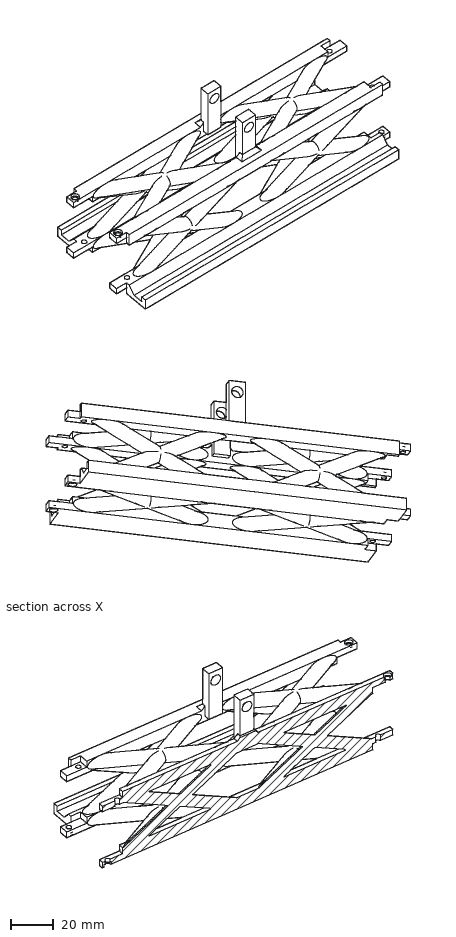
import cadquery as cq

frame_size = 40.0
rail_size = 7.0
rail_length = 155.0
overall_length = 167.0
frame_half = frame_size / 2
rail_inner = frame_half - rail_size
rail_center = frame_half - rail_size / 2
rail_end = rail_length / 2
part_end = overall_length / 2

tab_length = part_end - rail_end
tab_width = 5.0
tab_height = rail_size / 2
notch_depth = 5.5
notch_end = rail_end - notch_depth
tab_center_x = rail_inner + tab_width / 2

pin_hole_diameter = 2.5
pin_recess_diameter = 4.0
pin_recess_depth = 1.5
tab_hole_y = part_end - tab_length / 2
notch_hole_y = notch_end + tab_length / 2

channel_half_width = 31.7
channel_lip = 2.7
channel_lip_height = 6.0
channel_floor = 3.0
channel_slope_width = 3.5

brace_clearance = 0.02
brace_diameter = rail_size - brace_clearance

tag_thickness = 5.0
tag_width = 8.0
tag_inner = 10.0
tag_top = 63.0
tag_bottom = 36.0
tag_hole_diameter = 5.5
tag_hole_drop = 5.5
tag_flare = 2.0


def box(x_range, y_range, z_range):
    """Axis-aligned box between the given limits."""
    size = [high - low for low, high in (x_range, y_range, z_range)]
    corner = (x_range[0], y_range[0], z_range[0])
    return cq.Workplane("XY").box(*size, centered=False).translate(corner)


def vertical_hole(diameter, y, z_bottom, depth):
    """Cylinder on the tab centre line, used as a cutter."""
    return cq.Workplane("XY", origin=(tab_center_x, y, z_bottom)).circle(diameter / 2).extrude(depth)


def make_rail(z_bottom):
    """Plain rail on the +X side, with its two end tabs."""
    z_middle = z_bottom + tab_height
    z_top = z_bottom + rail_size
    tab_x = (rail_inner, rail_inner + tab_width)
    rail = box((rail_inner, frame_half), (-rail_end, rail_end), (z_bottom, z_top))
    rail = rail.union(box(tab_x, (notch_end, part_end), (z_bottom, z_middle)))
    return rail.union(box(tab_x, (-part_end, -notch_end), (z_middle, z_top)))


def make_upper_joint_cuts():
    """Notches and holes at both ends of the +X upper rail."""
    z_bottom = frame_size - rail_size
    z_middle = z_bottom + tab_height
    tab_x = (rail_inner, rail_inner + tab_width)
    recess_bottom = frame_size - pin_recess_depth
    back_notch = box(tab_x, (notch_end, part_end), (z_middle, frame_size))
    front_notch = box(tab_x, (-part_end, -notch_end), (z_bottom, z_middle))
    cuts = back_notch.union(front_notch)
    cuts = cuts.union(vertical_hole(pin_hole_diameter, notch_hole_y, z_bottom, rail_size))
    cuts = cuts.union(vertical_hole(pin_hole_diameter, -tab_hole_y, z_bottom, rail_size))
    return cuts.union(vertical_hole(pin_recess_diameter, -tab_hole_y, recess_bottom, pin_recess_depth))


def make_channel():
    """Open channel beside the lower rail on the +X side."""
    lip_inner = channel_half_width - channel_lip
    outline = [
        (rail_center, 0),
        (channel_half_width, 0),
        (channel_half_width, channel_lip_height),
        (lip_inner, channel_lip_height),
        (lip_inner, channel_floor),
        (frame_half + channel_slope_width, channel_floor),
        (frame_half, rail_size),
        (rail_center, rail_size),
    ]
    profile = cq.Workplane("XZ").polyline(outline).close()
    return profile.extrude(rail_end, both=True)


def make_tag():
    """Upright hanger on the +X upper rail, with a flared foot."""
    tag_outer = tag_inner + tag_thickness
    half_width = tag_width / 2
    tag = box((tag_inner, tag_outer), (-half_width, half_width), (tag_bottom, tag_top))
    foot_half = tag_outer + tag_flare
    foot = (
        cq.Workplane("XY", origin=(0, 0, frame_size))
        .rect(2 * foot_half, tag_width + 2 * tag_flare)
        .workplane(offset=tag_flare)
        .rect(2 * tag_outer, tag_width)
        .loft(ruled=True)
    )
    keep = box((rail_inner, foot_half), (-tag_width, tag_width), (frame_size, tag_top))
    hole = (
        cq.Workplane("YZ", origin=(0, 0, tag_top - tag_hole_drop))
        .circle(tag_hole_diameter / 2)
        .extrude(frame_half)
    )
    return tag.union(foot.intersect(keep)).cut(hole)


def make_brace(start, end):
    """Round bar between two points."""
    axis = cq.Vector(*end) - cq.Vector(*start)
    bar = cq.Solid.makeCylinder(brace_diameter / 2, axis.Length, cq.Vector(*start), axis)
    return cq.Workplane(obj=bar)


def make_lattice():
    """Two crossed pairs of bars on each of the four sides of the frame."""
    bars = None
    for y_start, y_end in ((-rail_end, 0), (0, rail_end)):
        for near, far in ((y_start, y_end), (y_end, y_start)):
            for side in (-rail_center, rail_center):
                flat = make_brace(
                    (-frame_half, near, frame_half + side),
                    (frame_half, far, frame_half + side),
                )
                upright = make_brace((side, near, 0), (side, far, frame_size))
                pair = flat.union(upright)
                bars = pair if bars is None else bars.union(pair)
    envelope = box((-frame_half, frame_half), (-rail_end, rail_end), (0, frame_size))
    return bars.intersect(envelope)


half = make_rail(0).union(make_rail(frame_size - rail_size))
half = half.union(make_channel()).union(make_tag())

upper_cuts = make_upper_joint_cuts()
lower_cuts = upper_cuts.rotate((0, 0, frame_half), (1, 0, frame_half), 180)
joint_cuts = upper_cuts.union(lower_cuts)

result = half.union(half.mirror("YZ")).union(make_lattice())
result = result.cut(joint_cuts).cut(joint_cuts.mirror("YZ"))